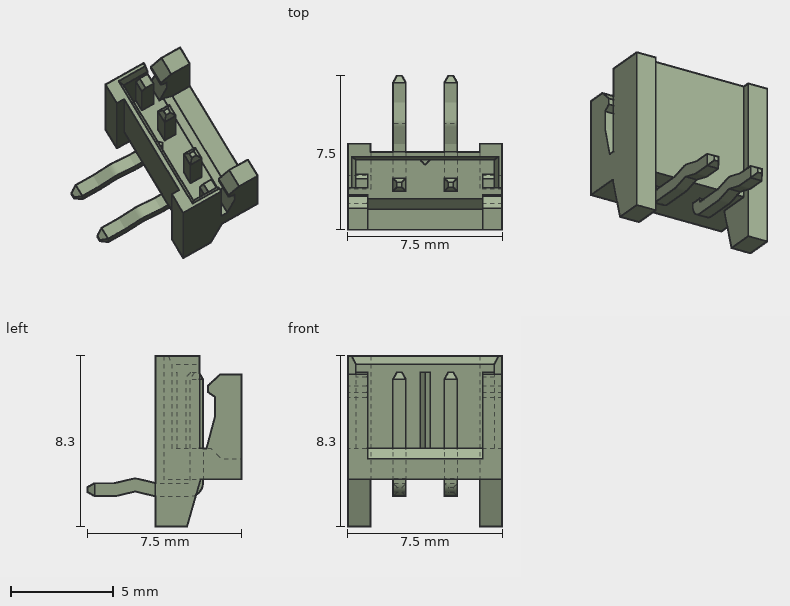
import cadquery as cq
import math


width = 7.5
height = 8.3
depth = 4.2
base_bottom = 2.3
floor_z = 3.8

leg_width = 1.095
pad_height = 0.41
leg_top_depth = 2.2
leg_bottom_depth = 1.54

shroud_depth = 2.15
cavity_width = 6.73
cavity_back = -0.8
lead_in_height = 0.41
lead_in_side = 0.21
lead_in_back = 0.17

rib_top = 7.5
rib_depth = 0.66
rib_bevel = 0.215
key_half_width = 0.24
key_depth = 0.24

arm_width = 0.955
arm_top = 7.4
arm_root_y = -2.48
arm_waist_y = -2.9
arm_waist_bottom = 5.36
arm_waist_top = 6.3
hook_y = -2.56
hook_bottom = 6.54
hook_top = 6.855
arm_top_y = -3.145
arm_gap = width - 2 * arm_width
sill_z = 3.3
sill_back_y = -3.2
sill_slope_top_y = -2.7

pin_pitch = 2.5
pin_count = 2
pin_size = 0.64
pin_axis_y = -2.0
pin_top = rib_top
pin_tail_end = 3.3
pin_tail_top = 2.12
taper_length = 0.35
tip_size = 0.25
kink_start = -0.025
kink_end = 1.99
kink_angle = math.radians(13.5)

pin_back = pin_axis_y + pin_size / 2
pin_front = pin_axis_y - pin_size / 2
pin_xs = [(i - (pin_count - 1) / 2) * pin_pitch for i in range(pin_count)]


def side_profile(points, x_length):
    """Extrude a (y, z) outline along X, centred on X = 0."""
    return cq.Workplane("YZ").polyline(points).close().extrude(x_length / 2, both=True)


def block(x_range, y_range, z_range):
    """Box spanning the given (low, high) ranges."""
    lows, highs = zip(x_range, y_range, z_range)
    size = [high - low for low, high in zip(lows, highs)]
    return cq.Workplane("XY").box(*size, centered=False).translate(lows)


def both_sides(shape):
    """The shape together with its mirror image across X = 0."""
    return shape.union(shape.mirror("YZ"))


def outer_body():
    """Side outline of the housing with its shroud, latch arms and legs."""
    return side_profile(
        [
            (0, 0),
            (0, height),
            (-shroud_depth, height),
            (-shroud_depth, floor_z),
            (arm_root_y, floor_z),
            (arm_waist_y, arm_waist_bottom),
            (arm_waist_y, arm_waist_top),
            (hook_y, hook_bottom),
            (hook_y, hook_top),
            (arm_top_y, arm_top),
            (-depth, arm_top),
            (-depth, base_bottom),
            (-leg_top_depth, base_bottom),
            (-leg_bottom_depth, 0),
        ],
        width,
    )


def between_legs():
    """Space between the two legs and between the pads on the back."""
    half = width / 2 - leg_width
    under_base = block((-half, half), (-depth, 0), (0, base_bottom))
    behind_wall = block((-half, half), (-pad_height, 0), (0, height))
    return under_base.union(behind_wall)


def cavity():
    """Cavity open to the front, with the lead-in bevel at its mouth."""
    half = cavity_width / 2
    pocket = block((-half, half), (-shroud_depth, cavity_back), (floor_z, height))

    bevel_base = height - lead_in_height
    reach = shroud_depth + cavity_back
    mouth = (
        cq.Workplane("XY", origin=(0, -shroud_depth, bevel_base))
        .rect(cavity_width, 2 * reach)
        .workplane(offset=lead_in_height)
        .rect(cavity_width + 2 * lead_in_side, 2 * (reach + lead_in_back))
        .loft(ruled=True)
    )
    return pocket.union(mouth)


def arm_window():
    """Opening between the latch arms, with the slope from the cavity floor to the sill."""
    return side_profile(
        [
            (-shroud_depth, floor_z),
            (sill_slope_top_y, floor_z),
            (sill_back_y, sill_z),
            (-depth, sill_z),
            (-depth, height),
            (-shroud_depth, height),
        ],
        arm_gap,
    )


def guide_ribs():
    """Ribs at the front of the side walls, bevelled at the top of their back face."""
    rib_back = rib_depth - shroud_depth
    outline = [
        (-shroud_depth, floor_z),
        (rib_back, floor_z),
        (rib_back, rib_top - rib_bevel),
        (rib_back - rib_bevel, rib_top),
        (-shroud_depth, rib_top),
    ]
    rib_width = (cavity_width - arm_gap) / 2
    rib_center_x = (cavity_width + arm_gap) / 4
    return both_sides(side_profile(outline, rib_width).translate((rib_center_x, 0, 0)))


def key_rib():
    """Triangular rib down the middle of the back wall."""
    return (
        cq.Workplane("XY", origin=(0, cavity_back, floor_z))
        .polyline([(-key_half_width, 0), (0, -key_depth), (key_half_width, 0)])
        .close()
        .extrude(rib_top - floor_z)
    )


def make_housing():
    body = outer_body().cut(between_legs()).cut(cavity()).cut(arm_window())
    body = body.union(guide_ribs()).union(key_rib())
    for x in pin_xs:
        hole_x = (x - pin_size / 2, x + pin_size / 2)
        body = body.cut(block(hole_x, (pin_front, pin_back), (base_bottom, floor_z)))
    return body


def tapered_tip(plane):
    """Square frustum growing along the plane's normal."""
    return (
        cq.Workplane(plane)
        .rect(pin_size, pin_size)
        .workplane(offset=taper_length)
        .rect(tip_size, tip_size)
        .loft(ruled=True)
    )


def make_pin(x):
    """Bent square pin: each bend is sharp inside and rounded about that corner outside."""

    def around(corner, angle):
        """Point one thickness away from a corner, at an angle measured from +Y toward +Z."""
        return (corner[0] + pin_size * math.cos(angle), corner[1] + pin_size * math.sin(angle))

    up = math.pi / 2
    down = -up
    post_end = pin_top - taper_length
    tail_end = pin_tail_end - taper_length

    elbow = (pin_back, pin_tail_top)
    rise = (kink_start, pin_tail_top)
    level = (kink_end, pin_tail_top)

    half_span = (kink_end - kink_start) / 2
    slope_start = around(rise, down + kink_angle)
    slope_run = kink_start + half_span - slope_start[0]
    crest = (kink_start + half_span, slope_start[1] + slope_run * math.tan(kink_angle))

    strip = (
        cq.Workplane("YZ")
        .moveTo(pin_back, post_end)
        .lineTo(*elbow)
        .lineTo(*rise)
        .lineTo(*around(crest, up + kink_angle))
        .threePointArc(around(crest, up), around(crest, up - kink_angle))
        .lineTo(*level)
        .lineTo(tail_end, pin_tail_top)
        .lineTo(tail_end, pin_tail_top - pin_size)
        .lineTo(*around(level, down))
        .threePointArc(around(level, down - kink_angle / 2), around(level, down - kink_angle))
        .lineTo(*crest)
        .lineTo(*slope_start)
        .threePointArc(around(rise, down + kink_angle / 2), around(rise, down))
        .lineTo(*around(elbow, down))
        .threePointArc(around(elbow, down - math.pi / 4), around(elbow, math.pi))
        .lineTo(pin_front, post_end)
        .close()
        .extrude(pin_size / 2, both=True)
    )

    tail_axis_z = pin_tail_top - pin_size / 2
    post_tip = tapered_tip(cq.Plane((0, pin_axis_y, post_end), xDir=(1, 0, 0), normal=(0, 0, 1)))
    tail_tip = tapered_tip(cq.Plane((0, tail_end, tail_axis_z), xDir=(1, 0, 0), normal=(0, 1, 0)))
    return strip.union(post_tip).union(tail_tip).translate((x, 0, 0))


housing = make_housing()
pins = [make_pin(x) for x in pin_xs]

result = cq.Compound.makeCompound([housing.val(), *[pin.val() for pin in pins]])